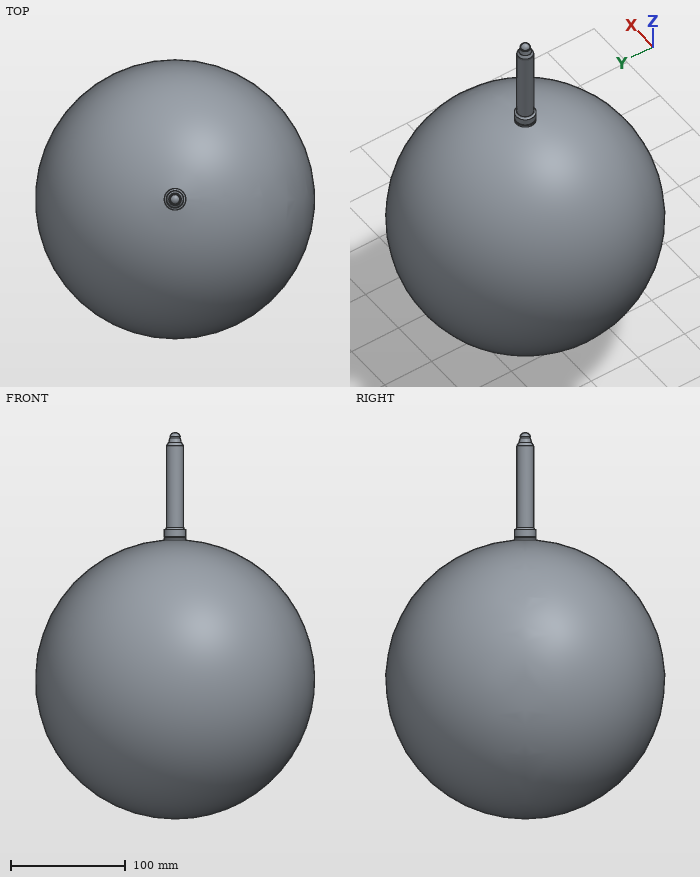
import cadquery as cq
import math


ball_radius = 244.0 / 2
neck_radius = 19.0 / 2
neck_top = 124.0

joint_chamfer_width = 0.2
joint_chamfer_height = 0.5

collar_radius = neck_radius
collar_height = 8.6
collar_cove_radius = 1.9
collar_top = neck_top + collar_height

stem_radius = 15.0 / 2
stem_top = ball_radius + 93.5
shoulder_chamfer_width = 0.25
shoulder_chamfer_height = 1.1
shoulder_bottom = stem_top - 12.3
cone_bottom = shoulder_bottom + shoulder_chamfer_height
cone_height = 2.6
cone_top_radius = 11.0 / 2
cone_top = cone_bottom + cone_height

tip_radius = 9.2 / 2
nose_top_radius = tip_radius
nose_height = 4.0
nose_top = cone_top + nose_height
groove_radius = 8.0 / 2
groove_width = 1.0
tip_bottom = nose_top + groove_width
dome_height = stem_top - tip_bottom
dome_radius = (tip_radius**2 + dome_height**2) / (2 * dome_height)
dome_center_height = stem_top - dome_radius


def turn(profile):
    """Revolve a closed (radius, height) profile about the Z axis."""
    return profile.revolve(360, (0, 0, 0), (0, 1, 0))


def make_ball():
    neck_foot = math.sqrt(ball_radius**2 - neck_radius**2)
    profile = (
        cq.Workplane("XZ")
        .moveTo(0, -ball_radius)
        .threePointArc((ball_radius, 0), (neck_radius, neck_foot))
        .lineTo(neck_radius, neck_top - joint_chamfer_height)
        .lineTo(neck_radius - joint_chamfer_width, neck_top)
        .lineTo(0, neck_top)
        .close()
    )
    return turn(profile)


def make_collar():
    lip_radius = collar_radius - collar_cove_radius
    cove_bottom = collar_top - collar_cove_radius
    cove_mid_offset = collar_cove_radius * math.sqrt(0.5)
    cove_middle = (collar_radius - cove_mid_offset, collar_top - cove_mid_offset)
    profile = (
        cq.Workplane("XZ")
        .moveTo(stem_radius, neck_top)
        .lineTo(collar_radius - joint_chamfer_width, neck_top)
        .lineTo(collar_radius, neck_top + joint_chamfer_height)
        .lineTo(collar_radius, cove_bottom)
        .threePointArc(cove_middle, (lip_radius, collar_top))
        .lineTo(stem_radius, collar_top)
        .close()
    )
    return turn(profile)


def make_stem():
    dome_half_angle = math.asin(tip_radius / dome_radius) / 2
    dome_middle = (
        dome_radius * math.sin(dome_half_angle),
        dome_center_height + dome_radius * math.cos(dome_half_angle),
    )
    profile = (
        cq.Workplane("XZ")
        .moveTo(0, neck_top)
        .lineTo(stem_radius, neck_top)
        .lineTo(stem_radius, shoulder_bottom)
        .lineTo(stem_radius - shoulder_chamfer_width, cone_bottom)
        .lineTo(cone_top_radius, cone_top)
        .lineTo(nose_top_radius, nose_top)
        .lineTo(groove_radius, nose_top)
        .lineTo(groove_radius, tip_bottom)
        .lineTo(tip_radius, tip_bottom)
        .threePointArc(dome_middle, (0, stem_top))
        .close()
    )
    return turn(profile)


ball = make_ball()
collar = make_collar()
stem = make_stem()

result = cq.Compound.makeCompound([ball.val(), collar.val(), stem.val()])